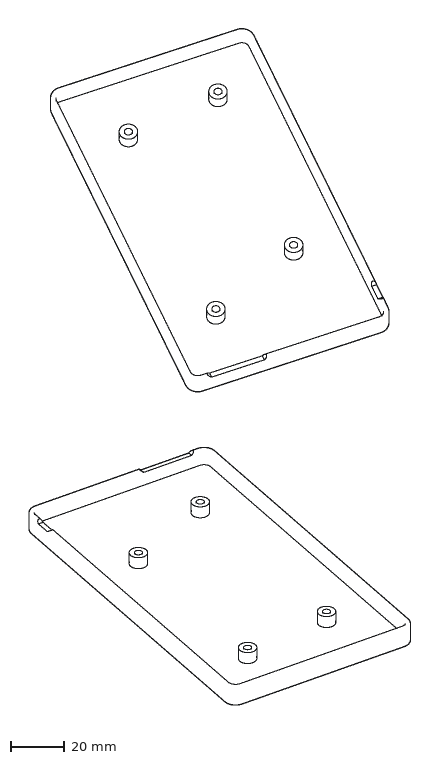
import cadquery as cq

length = 145.1
width = 82.1
height = 9.0
corner_radius = 5.0
wall = 2.0
floor_thickness = 2.0
edge_radius = 0.99

post_diameter = 7.0
post_hole_diameter = 3.0
post_height = 5.0
post_centers = [(-49.5, 19.2), (26.8, 19.2), (-44.8, -19.0), (43.4, -19.0)]

notch_depth = 1.2
notch_slope_run = 1.3
back_notch_center = 59.2
back_notch_floor = 6.2
side_notch_center = -21.8
side_notch_floor = 21.3


def rounded_block(size_x, size_y, size_z, radius):
    """Block standing on Z = 0 with rounded vertical corners."""
    block = cq.Workplane("XY").box(size_x, size_y, size_z, centered=(True, True, False))
    return block.edges("|Z").fillet(radius)


def tray():
    """Open tray with a rounded rim and a rounded outer bottom edge."""
    outer = rounded_block(length, width, height, corner_radius)
    cavity = rounded_block(length - 2 * wall, width - 2 * wall, height, corner_radius - wall)
    shell = outer.cut(cavity.translate((0, 0, floor_thickness)))
    return shell.faces(">Z or <Z").edges().fillet(edge_radius)


def posts():
    """Standoffs with blind holes that stop at the tray floor."""
    base = cq.Workplane("XY", origin=(0, 0, floor_thickness)).pushPoints(post_centers)
    return base.circle(post_diameter / 2).circle(post_hole_diameter / 2).extrude(post_height)


def rim_notch(floor_length):
    """Cutter running along X, centred on the wall, flared towards the rim."""
    half_floor = floor_length / 2
    half_top = half_floor + notch_slope_run
    bottom = height - notch_depth
    profile = [(-half_floor, bottom), (half_floor, bottom), (half_top, height), (-half_top, height)]
    return cq.Workplane("XZ").polyline(profile).close().extrude(wall, both=True)


back_notch = rim_notch(back_notch_floor).translate((back_notch_center, (width - wall) / 2, 0))
side_notch = rim_notch(side_notch_floor).rotate((0, 0, 0), (0, 0, 1), 90)
side_notch = side_notch.translate(((length - wall) / 2, side_notch_center, 0))

result = tray().union(posts()).cut(back_notch).cut(side_notch)